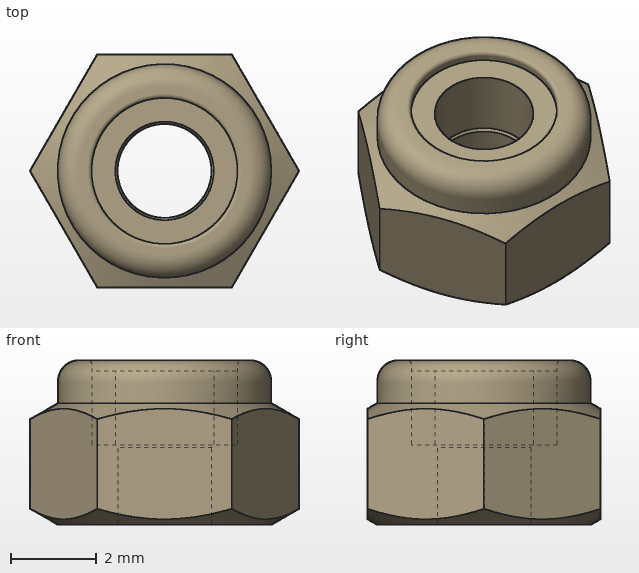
import cadquery as cq
import math


CORNER_RADIUS = 3.145
CHAMFER_ANGLE = 30.0

TOTAL_HEIGHT = 3.85
COLLAR_RADIUS = 2.5
COLLAR_BASE = 2.84
RIM_FILLET = 0.505

MOUTH_RADIUS = 1.705
MOUTH_FILLET = 0.095
INSERT_RECESS = 0.25
INSERT_HEIGHT = 1.73
INSERT_BORE_RADIUS = 1.15

NUT_BORE_RADIUS = 1.095
BORE_CHAMFER = INSERT_BORE_RADIUS - NUT_BORE_RADIUS

CHAMFER_HEIGHT = (CORNER_RADIUS - COLLAR_RADIUS) * math.tan(math.radians(CHAMFER_ANGLE))
INSERT_TOP = TOTAL_HEIGHT - INSERT_RECESS
SEAT_HEIGHT = INSERT_TOP - INSERT_HEIGHT


def make_turned_blank():
    """Revolve the nut's full section: chamfer cones, collar, insert seat and bore."""
    rim_mid = RIM_FILLET * math.sqrt(0.5)
    mouth_mid = MOUTH_FILLET * math.sqrt(0.5)
    rim_centre_radius = COLLAR_RADIUS - RIM_FILLET
    rim_centre_height = TOTAL_HEIGHT - RIM_FILLET
    mouth_centre_radius = MOUTH_RADIUS + MOUTH_FILLET
    mouth_centre_height = TOTAL_HEIGHT - MOUTH_FILLET
    section = (
        cq.Workplane("XZ")
        .moveTo(NUT_BORE_RADIUS, 0)
        .lineTo(COLLAR_RADIUS, 0)
        .lineTo(CORNER_RADIUS, CHAMFER_HEIGHT)
        .lineTo(CORNER_RADIUS, COLLAR_BASE - CHAMFER_HEIGHT)
        .lineTo(COLLAR_RADIUS, COLLAR_BASE)
        .lineTo(COLLAR_RADIUS, rim_centre_height)
        .threePointArc(
            (rim_centre_radius + rim_mid, rim_centre_height + rim_mid),
            (rim_centre_radius, TOTAL_HEIGHT),
        )
        .lineTo(mouth_centre_radius, TOTAL_HEIGHT)
        .threePointArc(
            (mouth_centre_radius - mouth_mid, mouth_centre_height + mouth_mid),
            (MOUTH_RADIUS, mouth_centre_height),
        )
        .lineTo(MOUTH_RADIUS, SEAT_HEIGHT)
        .lineTo(INSERT_BORE_RADIUS, SEAT_HEIGHT)
        .lineTo(NUT_BORE_RADIUS, SEAT_HEIGHT - BORE_CHAMFER)
        .close()
    )
    return section.revolve(360, (0, 0, 0), (0, 1, 0))


def make_nut():
    """Trim the turned blank to a hexagonal prism."""
    hexagon = cq.Workplane("XY").polygon(6, 2 * CORNER_RADIUS).extrude(TOTAL_HEIGHT)
    return make_turned_blank().intersect(hexagon).solids()


def make_insert():
    """Plain ring filling the seat up to its recessed top face."""
    return (
        cq.Workplane("XY", origin=(0, 0, SEAT_HEIGHT))
        .circle(MOUTH_RADIUS)
        .circle(INSERT_BORE_RADIUS)
        .extrude(INSERT_HEIGHT)
    )


nut = make_nut()
insert = make_insert()

result = cq.Compound.makeCompound([nut.val(), insert.val()])